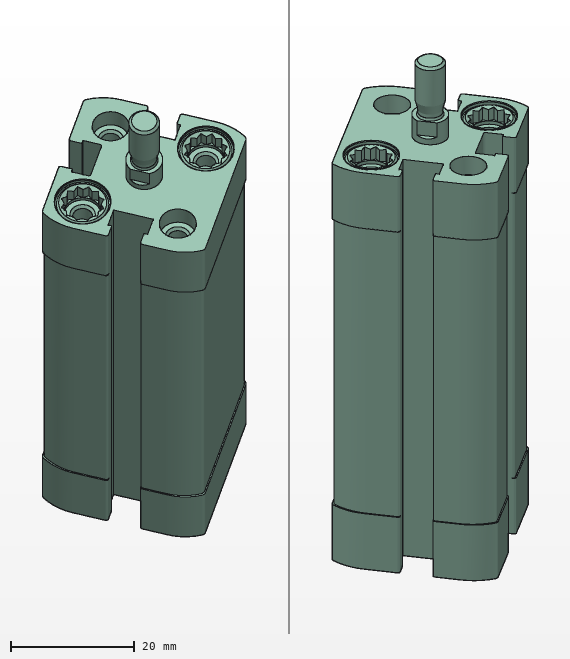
import cadquery as cq
import math

CAP_WIDTH = 27.5
BARREL_INSET = 0.22
HOUSING_HEIGHT = 75.0
CAP_HEIGHT = 10.5
CORNER_ARC_RADIUS = 10.0
CORNER_EDGE_RADIUS = 0.8
BOLT_OFFSET = 8.0

SLOT_OFFSET = 0.6
SLOT_MOUTH = 5.4
SLOT_WIDTH = 6.7
SLOT_DEPTH = 5.4
LIP_THICKNESS = 2.2
LIP_RADIUS = 0.4
SLOT_CORNER_RADIUS = 0.4

THROUGH_DIAMETER = 3.2
COUNTERSINK_DIAMETER = 4.1
COUNTERSINK_DEPTH = 0.45
COUNTERBORE_DIAMETER = 6.0
COUNTERBORE_DEPTH = 3.5

SOCKET_DIAMETER = 9.2
SOCKET_BORE_DIAMETER = 9.0
SOCKET_CHAMFER_DEPTH = 0.2
GROOVE_DEPTH = 0.7
COLLAR_DIAMETER = 8.5
COLLAR_RIDGE_DIAMETER = 7.8
COLLAR_RIDGE_DEPTH = 0.4
FUNNEL_DEPTH = 0.7
SPLINE_TEETH = 12
SPLINE_ROOT_DIAMETER = 7.05
SPLINE_DEPTH = 2.85

TOTAL_HEIGHT = 89.2
ROD_DIAMETER = 6.0
ROD_COLLAR_HEIGHT = 4.0
FLATS_WIDTH = 5.0
FLATS_HEIGHT = 2.7
FLATS_RUNOUT = 0.3
STUD_DIAMETER = 5.0
NECK_BASE_DIAMETER = 4.5
NECK_BASE_HEIGHT = 0.45
NECK_DIAMETER = 4.1
NECK_HEIGHT = 0.6
STUD_TAPER_HEIGHT = 1.8
TIP_DIAMETER = 4.1
TIP_CHAMFER_HEIGHT = 0.45


def profile_prism(inset, height):
    """Square prism whose Y faces curve into the X faces, shrunk by an inset on every side."""
    half = CAP_WIDTH / 2 - inset
    arc_start = BOLT_OFFSET - inset
    run = half - arc_start
    drop = CORNER_ARC_RADIUS - math.sqrt(CORNER_ARC_RADIUS**2 - run**2)
    mid_run = run / 2
    mid_drop = CORNER_ARC_RADIUS - math.sqrt(CORNER_ARC_RADIUS**2 - mid_run**2)
    mid_x = arc_start + mid_run
    mid_y = half - mid_drop
    side_y = half - drop
    return (
        cq.Workplane("XY")
        .moveTo(-arc_start, half)
        .lineTo(arc_start, half)
        .threePointArc((mid_x, mid_y), (half, side_y))
        .lineTo(half, -side_y)
        .threePointArc((mid_x, -mid_y), (arc_start, -half))
        .lineTo(-arc_start, -half)
        .threePointArc((-mid_x, -mid_y), (-half, -side_y))
        .lineTo(-half, side_y)
        .threePointArc((-mid_x, mid_y), (-arc_start, half))
        .close()
        .extrude(height)
        .edges("|Z and (<X or >X)")
        .fillet(CORNER_EDGE_RADIUS)
    )


def slot_cutter(offset, angle, inset, height, rounded_floor):
    """T-slot in the inset -Y face at x = offset, then turned about Z."""
    face = -CAP_WIDTH / 2
    floor = face + SLOT_DEPTH
    lip = face + LIP_THICKNESS
    channel_depth = floor - lip
    channel = cq.Workplane("XY").center(offset, lip + channel_depth / 2)
    channel = channel.rect(SLOT_WIDTH, channel_depth).extrude(height)
    if rounded_floor:
        channel = channel.edges("|Z and >Y").fillet(SLOT_CORNER_RADIUS)
    mouth = cq.Workplane("XY").center(offset, face + LIP_THICKNESS / 2)
    cutter = channel.union(mouth.rect(SLOT_MOUTH, LIP_THICKNESS).extrude(height))
    for side in (-1, 1):
        edge_x = offset + side * SLOT_MOUTH / 2
        cutter = cutter.union(lip_rounding(edge_x, face + inset, side, height))
    return cutter.rotate((0, 0, 0), (0, 0, 1), angle)


def lip_rounding(edge_x, face, side, height):
    """Waste left outside a convex round on the outer edge of a slot lip."""
    far_x = edge_x + side * LIP_RADIUS
    diagonal = LIP_RADIUS * (1 - math.sqrt(0.5))
    return (
        cq.Workplane("XY")
        .moveTo(edge_x, face)
        .lineTo(far_x, face)
        .threePointArc((edge_x + side * diagonal, face + diagonal), (edge_x, face + LIP_RADIUS))
        .close()
        .extrude(height)
    )


def slotted_prism(inset, height):
    """Length of profile with a T-slot in its -Y, +Y and -X faces."""
    prism = profile_prism(inset, height)
    prism = prism.cut(slot_cutter(SLOT_OFFSET, 0, inset, height, False))
    prism = prism.cut(slot_cutter(SLOT_OFFSET, 180, inset, height, False))
    return prism.cut(slot_cutter(-SLOT_OFFSET, -90, inset, height, True))


def bolt_hole_cutter(x, y):
    """Through hole with a counterbore in the top face and a countersink at its floor."""
    sink_floor = -COUNTERBORE_DEPTH - COUNTERSINK_DEPTH
    return (
        cq.Workplane("XZ")
        .lineTo(COUNTERBORE_DIAMETER / 2, 0)
        .lineTo(COUNTERBORE_DIAMETER / 2, -COUNTERBORE_DEPTH)
        .lineTo(COUNTERSINK_DIAMETER / 2, -COUNTERBORE_DEPTH)
        .lineTo(THROUGH_DIAMETER / 2, sink_floor)
        .lineTo(THROUGH_DIAMETER / 2, -HOUSING_HEIGHT)
        .lineTo(0, -HOUSING_HEIGHT)
        .close()
        .revolve(360, (0, 0), (0, 1))
        .translate((x, y, HOUSING_HEIGHT))
    )


def spline_points():
    """Star outline with teeth pointing inward to the counterbore diameter."""
    points = []
    half_pitch = math.pi / SPLINE_TEETH
    for step in range(2 * SPLINE_TEETH):
        is_root = step % 2 == 0
        radius = (SPLINE_ROOT_DIAMETER if is_root else COUNTERBORE_DIAMETER) / 2
        angle = step * half_pitch
        points.append((radius * math.cos(angle), radius * math.sin(angle)))
    return points


def socket_cutter(x, y):
    """Chamfered bore with a ridged collar in it; a funnel in the collar leads to the splines."""
    spline = cq.Workplane("XY").polyline(spline_points()).close().extrude(-SPLINE_DEPTH)
    mouth = (
        cq.Workplane("XZ")
        .lineTo(SOCKET_DIAMETER / 2, 0)
        .lineTo(SOCKET_BORE_DIAMETER / 2, -SOCKET_CHAMFER_DEPTH)
        .lineTo(SOCKET_BORE_DIAMETER / 2, -GROOVE_DEPTH)
        .lineTo(COLLAR_DIAMETER / 2, -GROOVE_DEPTH)
        .lineTo(COLLAR_RIDGE_DIAMETER / 2, -COLLAR_RIDGE_DEPTH)
        .lineTo(COUNTERBORE_DIAMETER / 2, -FUNNEL_DEPTH)
        .lineTo(0, -FUNNEL_DEPTH)
        .close()
        .revolve(360, (0, 0), (0, 1))
    )
    return spline.union(mouth).translate((x, y, HOUSING_HEIGHT))


def make_housing():
    barrel_height = HOUSING_HEIGHT - 2 * CAP_HEIGHT
    housing = slotted_prism(BARREL_INSET, barrel_height).translate((0, 0, CAP_HEIGHT))
    cap = slotted_prism(0, CAP_HEIGHT)
    for cap_base in (0, HOUSING_HEIGHT - CAP_HEIGHT):
        housing = housing.union(cap.translate((0, 0, cap_base)))
    for x_side in (-1, 1):
        for y_side in (-1, 1):
            x = x_side * BOLT_OFFSET
            y = y_side * BOLT_OFFSET
            housing = housing.cut(bolt_hole_cutter(x, y))
            if x_side == y_side:
                housing = housing.cut(socket_cutter(x, y))
    return housing


def flat_waste():
    """Stock outside the +Y flat of the rod collar, with a ledge that slopes down outward."""
    collar_top = HOUSING_HEIGHT + ROD_COLLAR_HEIGHT
    flat_y = FLATS_WIDTH / 2
    outer_y = ROD_DIAMETER / 2
    ledge = collar_top - FLATS_HEIGHT
    return (
        cq.Workplane("YZ")
        .moveTo(flat_y, collar_top)
        .lineTo(outer_y, collar_top)
        .lineTo(outer_y, ledge - FLATS_RUNOUT)
        .lineTo(flat_y, ledge)
        .close()
        .extrude(ROD_DIAMETER / 2, both=True)
    )


def make_piston_rod():
    """Rod standing on the top face: collar with two flats, flared neck and chamfered stud."""
    collar_top = HOUSING_HEIGHT + ROD_COLLAR_HEIGHT
    neck_base = collar_top + NECK_BASE_HEIGHT
    neck_top = neck_base + NECK_HEIGHT
    rod = (
        cq.Workplane("XZ")
        .moveTo(0, HOUSING_HEIGHT)
        .lineTo(ROD_DIAMETER / 2, HOUSING_HEIGHT)
        .lineTo(ROD_DIAMETER / 2, collar_top)
        .lineTo(NECK_BASE_DIAMETER / 2, collar_top)
        .lineTo(NECK_DIAMETER / 2, neck_base)
        .lineTo(NECK_DIAMETER / 2, neck_top)
        .lineTo(STUD_DIAMETER / 2, neck_top + STUD_TAPER_HEIGHT)
        .lineTo(STUD_DIAMETER / 2, TOTAL_HEIGHT - TIP_CHAMFER_HEIGHT)
        .lineTo(TIP_DIAMETER / 2, TOTAL_HEIGHT)
        .lineTo(0, TOTAL_HEIGHT)
        .close()
        .revolve(360, (0, 0), (0, 1))
    )
    waste = flat_waste()
    return rod.cut(waste).cut(waste.mirror("XZ"))


housing = make_housing()
piston_rod = make_piston_rod()
result = cq.Compound.makeCompound([housing.val(), piston_rod.val()])